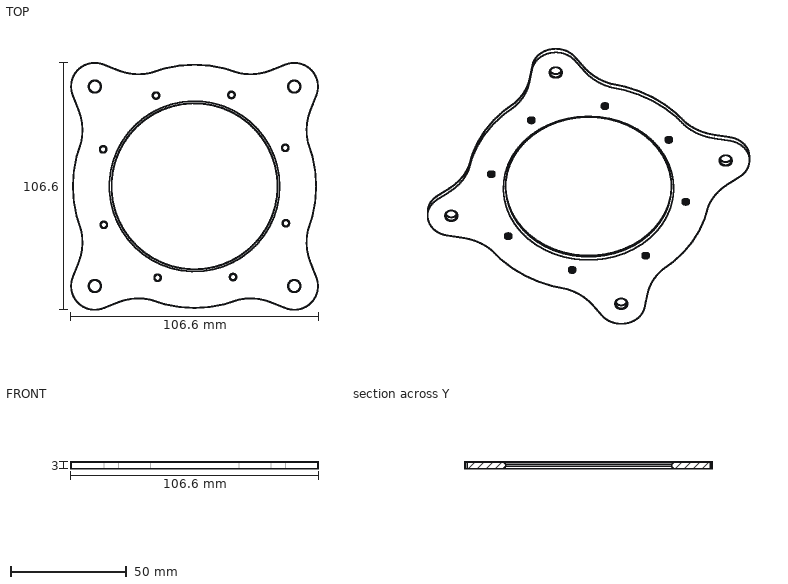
import cadquery as cq
import math

overall_width = 106.57
thickness = 3.0

lobe_offset = 43.0
lobe_radius = overall_width / 2 - lobe_offset
corner_hole_diameter = 5.0
corner_hole_chamfer = 0.25

bulge_radius = 52.5
bulge_half_width = 19.07
flank_start = 32.85
flank_angle = math.radians(21.7)

bore_diameter = 71.5
bore_chamfer = 1.0

ring_hole_count = 8
ring_radius = 42.5
ring_start_angle = 23.0
thread_minor_diameter = 2.53
thread_major_diameter = 3.09
thread_pitch = 0.5
thread_crest_flat = thread_pitch / 4
thread_flank_angle = math.radians(30)


def hollow_middle(start, end, angle):
    """Midpoint of the hollow that ends at `end`, tangent there to a line sloping at `angle`."""
    normal = (-math.sin(angle), math.cos(angle))
    chord = (start[0] - end[0], start[1] - end[1])
    chord_squared = chord[0] ** 2 + chord[1] ** 2
    radius = chord_squared / (2 * (chord[0] * normal[0] + chord[1] * normal[1]))
    center = (end[0] + radius * normal[0], end[1] + radius * normal[1])
    half_chord_distance = math.sqrt(radius ** 2 - chord_squared / 4)
    middle = ((start[0] + end[0]) / 2, (start[1] + end[1]) / 2)
    stretch = radius / half_chord_distance
    return (
        center[0] + (middle[0] - center[0]) * stretch,
        center[1] + (middle[1] - center[1]) * stretch,
    )


def turned(point, quarter):
    """Turn a point clockwise about the plate center by a number of quarter turns."""
    x, y = point
    for _ in range(quarter):
        x, y = y, -x
    return (x, y)


def mirrored(point):
    """Mirror a point across the plane X = 0."""
    return (-point[0], point[1])


def make_plate():
    bulge_end = (bulge_half_width, math.sqrt(bulge_radius ** 2 - bulge_half_width ** 2))
    flank_end = (
        lobe_offset - lobe_radius * math.sin(flank_angle),
        lobe_offset + lobe_radius * math.cos(flank_angle),
    )
    flank_foot = (
        flank_start,
        flank_end[1] - (flank_end[0] - flank_start) * math.tan(flank_angle),
    )
    hollow = hollow_middle(bulge_end, flank_foot, flank_angle)
    lobe_tip = lobe_offset + lobe_radius * math.sqrt(0.5)

    outline = cq.Workplane("XY").moveTo(*mirrored(flank_end))
    for quarter in range(4):
        outline = (
            outline.lineTo(*turned(mirrored(flank_foot), quarter))
            .threePointArc(turned(mirrored(hollow), quarter), turned(mirrored(bulge_end), quarter))
            .threePointArc(turned((0, bulge_radius), quarter), turned(bulge_end, quarter))
            .threePointArc(turned(hollow, quarter), turned(flank_foot, quarter))
            .lineTo(*turned(flank_end, quarter))
            .threePointArc(
                turned((lobe_tip, lobe_tip), quarter),
                turned(mirrored(flank_end), quarter + 1),
            )
        )
    return outline.close().extrude(thickness)


def chamfered_cutter(diameter, chamfer):
    """Through-hole cutter that widens by a 45 degree chamfer at both faces."""
    radius = diameter / 2
    return (
        cq.Workplane("XZ")
        .moveTo(0, 0)
        .lineTo(radius + chamfer, 0)
        .lineTo(radius, chamfer)
        .lineTo(radius, thickness - chamfer)
        .lineTo(radius + chamfer, thickness)
        .lineTo(0, thickness)
        .close()
        .revolve(360, (0, 0), (0, 1))
    )


def cut_corner_holes(plate):
    cutter = chamfered_cutter(corner_hole_diameter, corner_hole_chamfer)
    for x in (-lobe_offset, lobe_offset):
        for y in (-lobe_offset, lobe_offset):
            plate = plate.cut(cutter.translate((x, y, 0)))
    return plate


def cut_bore(plate):
    return plate.cut(chamfered_cutter(bore_diameter, bore_chamfer))


def thread_cutter():
    """Cutter for one threaded hole, turned from a profile that repeats once per pitch."""
    minor_radius = thread_minor_diameter / 2
    major_radius = thread_major_diameter / 2
    flank_height = (major_radius - minor_radius) * math.tan(thread_flank_angle)
    root_half = (thread_pitch - thread_crest_flat) / 2 - flank_height
    crest_start = root_half + flank_height
    crest_end = crest_start + thread_crest_flat

    profile = cq.Workplane("XZ").moveTo(0, 0).lineTo(major_radius, 0)
    for turn in range(round(thickness / thread_pitch)):
        bottom = turn * thread_pitch
        profile = (
            profile.lineTo(major_radius, bottom + root_half)
            .lineTo(minor_radius, bottom + crest_start)
            .lineTo(minor_radius, bottom + crest_end)
            .lineTo(major_radius, bottom + thread_pitch - root_half)
        )
    profile = profile.lineTo(major_radius, thickness).lineTo(0, thickness).close()
    return profile.revolve(360, (0, 0), (0, 1))


def cut_ring_holes(plate):
    cutter = thread_cutter()
    for index in range(ring_hole_count):
        angle = math.radians(ring_start_angle + index * 360 / ring_hole_count)
        center = (ring_radius * math.cos(angle), ring_radius * math.sin(angle), 0)
        plate = plate.cut(cutter.translate(center))
    return plate


result = make_plate()
result = cut_corner_holes(result)
result = cut_bore(result)
result = cut_ring_holes(result).solids()